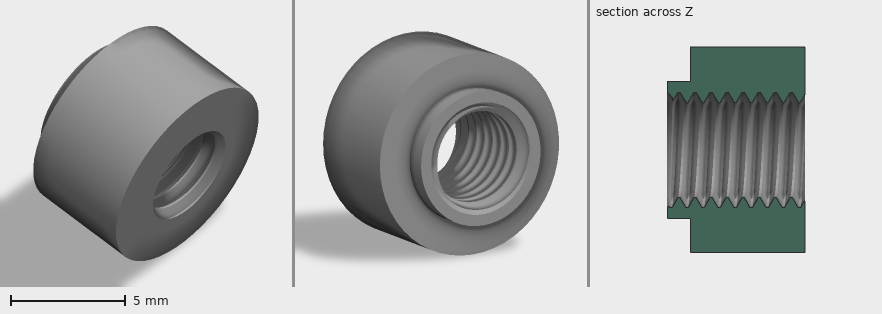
import cadquery as cq
import math

BODY_DIAMETER = 9.0
BODY_LENGTH = 5.0
COLLAR_DIAMETER = 6.0
COLLAR_LENGTH = 1.0

PITCH = 0.7
MAJOR_DIAMETER = 5.0
MINOR_DIAMETER = 4.134
CREST_FLAT = 0.1
ROOT_FLAT = 0.1
THREAD_LEAD = 0.37
BORE_OVERLAP = 0.03

LEAD_IN_MOUTH_DIAMETER = 5.0
LEAD_IN_LEDGE_DIAMETER = 4.6
LEAD_IN_DEPTH = 0.2

AXIS_START = (0, 0, 0)
AXIS_END = (1, 0, 0)
SEAM_TURN = 180


def make_blank():
    """Stepped round blank: body from X = 0 to +X, collar towards -X."""
    body = cq.Workplane("YZ").circle(BODY_DIAMETER / 2).extrude(BODY_LENGTH)
    collar = cq.Workplane("YZ").circle(COLLAR_DIAMETER / 2).extrude(-COLLAR_LENGTH)
    return body.union(collar)


def make_bore():
    """Through bore at the minor diameter of the thread."""
    return (
        cq.Workplane("YZ", origin=(-COLLAR_LENGTH, 0, 0))
        .circle(MINOR_DIAMETER / 2)
        .extrude(COLLAR_LENGTH + BODY_LENGTH)
    )


def make_lead_in():
    """Truncated cone that opens the collar mouth."""
    mouth = -COLLAR_LENGTH
    ledge = mouth + LEAD_IN_DEPTH
    return (
        cq.Workplane("XY")
        .moveTo(mouth, 0)
        .lineTo(mouth, LEAD_IN_MOUTH_DIAMETER / 2)
        .lineTo(ledge, LEAD_IN_LEDGE_DIAMETER / 2)
        .lineTo(ledge, 0)
        .close()
        .revolve(360, AXIS_START, AXIS_END)
    )


def make_thread_groove():
    """Helical V groove with a flat root, long enough to run out of the far end of the bore."""
    minor_radius = MINOR_DIAMETER / 2
    major_radius = MAJOR_DIAMETER / 2
    half_root = ROOT_FLAT / 2
    half_mouth = (PITCH - CREST_FLAT) / 2
    flank_slope = (half_mouth - half_root) / (major_radius - minor_radius)
    inner_radius = minor_radius - BORE_OVERLAP
    half_inner = half_mouth + flank_slope * BORE_OVERLAP
    turns = math.ceil((COLLAR_LENGTH + BODY_LENGTH + THREAD_LEAD) / PITCH) + 1
    length = turns * PITCH

    section = [
        (inner_radius, -half_inner),
        (major_radius, -half_root),
        (major_radius, half_root),
        (inner_radius, half_inner),
    ]
    helices = [
        cq.Wire.makeHelix(PITCH, length, radius, center=cq.Vector(0, 0, offset))
        for radius, offset in section
    ]
    faces = [
        cq.Face.makeRuledSurface(helix, following)
        for helix, following in zip(helices, helices[1:] + helices[:1])
    ]
    for end in (0, length):
        corners = [cq.Vector(radius, 0, end + offset) for radius, offset in section]
        faces.append(cq.Face.makeFromWires(cq.Wire.makePolygon(corners, close=True)))
    groove = cq.Solid.makeSolid(cq.Shell.makeShell(faces))
    return (
        cq.Workplane(obj=groove)
        .rotate((0, 0, 0), (0, 1, 0), 90)
        .translate((-COLLAR_LENGTH - THREAD_LEAD, 0, 0))
    )


def make_opening():
    """Bore and lead-in, turned so that their seams lie opposite the start of the groove."""
    return [
        cutter.rotate(AXIS_START, AXIS_END, SEAM_TURN) for cutter in (make_bore(), make_lead_in())
    ]


result = make_blank().cut(make_thread_groove(), clean=False)
for cutter in make_opening():
    result = result.cut(cutter, clean=False)